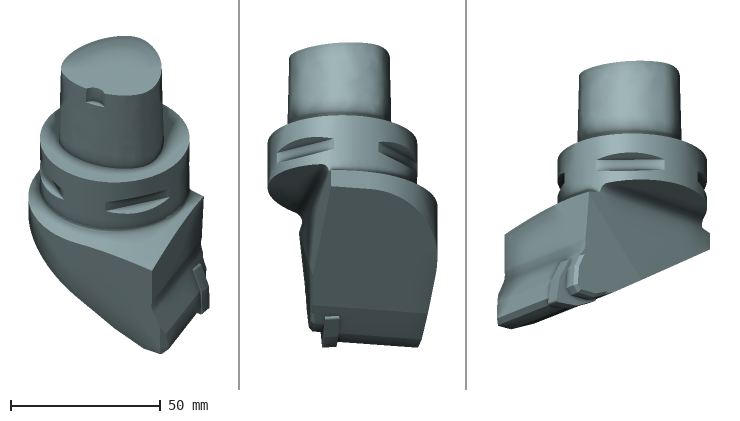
import cadquery as cq
import math

SHANK_HEIGHT = 29.8
SHANK_BASE_RADIUS = 17.55
SHANK_TOP_RADIUS = 16.8
LOBE_HEIGHT = 1.2
LOBES = 3
SHANK_CURVE_POINTS = 36
NOTCH_RADIUS = 4.0
NOTCH_DEPTH = 5.6
NOTCH_INNER_Y = -13.7

FLANGE_RADIUS = 25.0
FLANGE_BOTTOM = -19.35
NECK_FLARE = 0.8
NECK_BOTTOM = -20.3
NECK_RADIUS = FLANGE_RADIUS + NECK_FLARE
GROOVE_CENTER_Z = -10.2
GROOVE_FLOOR_DISTANCE = 22.2
GROOVE_FLOOR_WIDTH = 3.6
GROOVE_MOUTH_WIDTH = 6.7
GROOVE_ANGLES = (45, 135, 225, 315)

HEAD_LEFT = -27.1
HEAD_RIGHT = 28.5
HEAD_FRONT = -31.95
HEAD_BACK = 9.2
HEAD_CORNER_RADIUS = 27.9
HEAD_SLOPE_ANGLE = 15
TIP_RIGHT = 33.75
TIP_CHAMFER_X = 2.3
TIP_CHAMFER_Y = 1.9
HEAD_UNDERSIDE = [(HEAD_LEFT, -26.9), (14.8, -53.1), (25.5, -58.1), (31.95, -58.6)]
TIP_SIDE = [(TIP_RIGHT, -57.1), (33.0, -50.7), (29.2, -42.6)]
THROAT_MIDDLE = (28.4, -40.4)
THROAT_TOP = -37.8
RELIEF_OUTER_Z = -16.1
RELIEF_INNER_Y = 11.9
RELIEF_INNER_Z = -17.2
RELIEF_RADIUS = 2.8

INSERT_CENTER = (28.0, 1.5, -53.3)
INSERT_TILT = math.tan(math.radians(6))
INSERT_INRADIUS = 6.4
INSERT_CORNERS = 3
INSERT_CORNER_ANGLE = 80
INSERT_NOSE_RADIUS = 0.8
INSERT_THICKNESS = 4.8
TIP_BACK_OFFSET = 4.4
TIP_BACK_CHAMFER = 1.0
TIP_CORE = [
    (18.3, -54.9),
    (22.3, -56.6),
    (29.25, -56.6),
    (31.3, -54.5),
    (31.3, -47.7),
    (29.7, -43.7),
]

REACH = 108.0

BACK_SIZE = 4 * REACH

INSERT_PLANE = cq.Plane(
    origin=INSERT_CENTER,
    xDir=(1, -2 * INSERT_TILT, -1),
    normal=(INSERT_TILT, 1, -INSERT_TILT),
)


def lobed_curve(mean_radius):
    """Points of a three-lobed curve with one lobe on +Y."""
    points = []
    for step in range(SHANK_CURVE_POINTS):
        angle = math.tau * step / SHANK_CURVE_POINTS
        support = mean_radius + LOBE_HEIGHT * math.cos(LOBES * angle)
        slope = -LOBES * LOBE_HEIGHT * math.sin(LOBES * angle)
        along = support * math.cos(angle) - slope * math.sin(angle)
        across = support * math.sin(angle) + slope * math.cos(angle)
        points.append((-across, along))
    return points


def make_shank():
    shank = (
        cq.Workplane("XY")
        .spline(lobed_curve(SHANK_BASE_RADIUS), periodic=True).close()
        .workplane(offset=SHANK_HEIGHT)
        .spline(lobed_curve(SHANK_TOP_RADIUS), periodic=True).close()
        .loft(ruled=True)
    )
    notch = (
        cq.Workplane("XY", origin=(0, NOTCH_INNER_Y - NOTCH_RADIUS, SHANK_HEIGHT))
        .circle(NOTCH_RADIUS)
        .extrude(-NOTCH_DEPTH)
    )
    return shank.cut(notch)


def make_groove(angle):
    """Straight trapezoidal groove across the flange rim, facing the given direction."""
    depth = FLANGE_RADIUS - GROOVE_FLOOR_DISTANCE
    half_floor = GROOVE_FLOOR_WIDTH / 2
    half_mouth = GROOVE_MOUTH_WIDTH / 2
    return (
        cq.Workplane("XZ", origin=(GROOVE_FLOOR_DISTANCE, 0, GROOVE_CENTER_Z))
        .polyline([(0, -half_floor), (depth, -half_mouth), (depth, half_mouth), (0, half_floor)])
        .close()
        .extrude(FLANGE_RADIUS, both=True)
        .rotate((0, 0, 0), (0, 0, 1), angle)
    )


def make_flange():
    """Flange whose foot flares out in a concave arc to meet the head."""
    bend = 1 - math.sqrt(0.5)
    flare_middle = (
        FLANGE_RADIUS + NECK_FLARE * bend,
        NECK_BOTTOM + (FLANGE_BOTTOM - NECK_BOTTOM) * bend,
    )
    flange = (
        cq.Workplane("XZ")
        .lineTo(FLANGE_RADIUS, 0)
        .lineTo(FLANGE_RADIUS, FLANGE_BOTTOM)
        .threePointArc(flare_middle, (NECK_RADIUS, NECK_BOTTOM))
        .lineTo(0, NECK_BOTTOM)
        .close()
        .revolve(360, (0, 0), (0, 1))
    )
    for angle in GROOVE_ANGLES:
        flange = flange.cut(make_groove(angle))
    return flange


def make_head_plan():
    """Head outline seen along the axis: a rounded left corner and a chamfered right one."""
    corner_x = HEAD_LEFT + HEAD_CORNER_RADIUS
    corner_y = HEAD_FRONT + HEAD_CORNER_RADIUS
    diagonal = HEAD_CORNER_RADIUS * math.sqrt(0.5)
    return (
        cq.Workplane("XY")
        .moveTo(HEAD_LEFT, HEAD_BACK)
        .lineTo(HEAD_LEFT, corner_y)
        .threePointArc((corner_x - diagonal, corner_y - diagonal), (corner_x, HEAD_FRONT))
        .lineTo(TIP_RIGHT - TIP_CHAMFER_X, HEAD_FRONT)
        .lineTo(TIP_RIGHT, HEAD_FRONT + TIP_CHAMFER_Y)
        .lineTo(TIP_RIGHT, HEAD_BACK)
        .close()
        .extrude(-REACH)
    )


def make_head_profile():
    """Wedge-shaped head outline in XZ, running down to the insert tip."""
    return (
        cq.Workplane("XZ")
        .moveTo(HEAD_LEFT, 0)
        .polyline(HEAD_UNDERSIDE, includeCurrent=True)
        .polyline(TIP_SIDE, includeCurrent=True)
        .threePointArc(THROAT_MIDDLE, (HEAD_RIGHT, THROAT_TOP))
        .lineTo(HEAD_RIGHT, 0)
        .close()
        .extrude(REACH, both=True)
    )


def make_cone_limit():
    """Solid below the conical upper face of the head."""
    slope = math.tan(math.radians(HEAD_SLOPE_ANGLE))
    rim_z = NECK_BOTTOM - slope * (REACH - NECK_RADIUS)
    return (
        cq.Workplane("XZ")
        .polyline([
            (0, NECK_BOTTOM),
            (NECK_RADIUS, NECK_BOTTOM),
            (REACH, rim_z),
            (REACH, -REACH),
            (0, -REACH),
        ])
        .close()
        .revolve(360, (0, 0), (0, 1))
    )


def make_back_relief():
    """Space behind the head and under the back of the flange."""
    slope = (RELIEF_OUTER_Z - RELIEF_INNER_Z) / (FLANGE_RADIUS - RELIEF_INNER_Y)
    far_z = RELIEF_INNER_Z + slope * (REACH - RELIEF_INNER_Y)
    return (
        cq.Workplane("YZ")
        .moveTo(HEAD_BACK, -REACH)
        .lineTo(HEAD_BACK, RELIEF_INNER_Z - RELIEF_RADIUS)
        .radiusArc((RELIEF_INNER_Y, RELIEF_INNER_Z), RELIEF_RADIUS)
        .lineTo(REACH, far_z)
        .lineTo(REACH, -REACH)
        .close()
        .extrude(REACH, both=True)
    )


def make_insert():
    half_corner = math.radians(INSERT_CORNER_ANGLE / 2)
    corner_radius = INSERT_INRADIUS / math.sin(half_corner)
    waist_radius = INSERT_INRADIUS / math.sin(math.tau / INSERT_CORNERS - half_corner)
    outline = []
    for index in range(2 * INSERT_CORNERS):
        radius = waist_radius if index % 2 else corner_radius
        angle = index * math.pi / INSERT_CORNERS
        outline.append((radius * math.cos(angle), radius * math.sin(angle)))
    insert = cq.Workplane(INSERT_PLANE).polyline(outline).close().extrude(-INSERT_THICKNESS)
    for x, y in outline[::2]:
        corner = INSERT_PLANE.toWorldCoords((x, y, -INSERT_THICKNESS / 2))
        insert = insert.edges(cq.NearestToPointSelector(corner.toTuple())).fillet(INSERT_NOSE_RADIUS)
    return insert


def make_tip_clearance():
    """Space around the narrower part of the tip that rises above the rake face."""
    around = cq.Workplane(INSERT_PLANE).rect(REACH, REACH).extrude(REACH)
    core = (
        cq.Workplane("XZ")
        .polyline([(-REACH, 0), (-REACH, -REACH), *TIP_CORE, (REACH, 0)])
        .close()
        .extrude(REACH, both=True)
    )
    below_back = cq.Workplane(INSERT_PLANE).rect(BACK_SIZE, BACK_SIZE).extrude(TIP_BACK_OFFSET)
    core = core.intersect(below_back)
    core = core.faces(cq.DirectionMinMaxSelector(INSERT_PLANE.zDir, True)).chamfer(TIP_BACK_CHAMFER)
    return around.cut(core)


insert = make_insert()
head = make_head_plan().intersect(make_head_profile()).intersect(make_cone_limit())
head = head.cut(make_tip_clearance())
body = make_flange().union(head).cut(make_back_relief())
holder = make_shank().union(body).cut(insert)

result = cq.Compound.makeCompound([holder.val(), insert.val()])